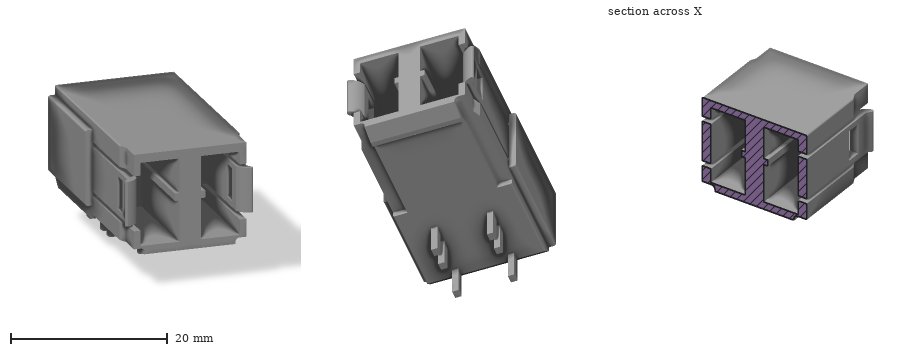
import cadquery as cq


length = 29.25
housing_width = 16.18
housing_height = 13.57
edge_radius = 0.2
front_chamfer = 1.32
tail_width = 15.18
taper_start = 25.15
taper_end = 26.15

overall_width = 18.05
boss_length = 14.57
boss_bottom = 2.05
boss_height = 10.25
boss_radius = 0.3

step_start = 13.57
step_height = 0.82
step_radius = 0.53
keel_width = 12.28
latch_start = 26.27
latch_flat_end = 26.97
latch_depth = 0.7

wall = 1.37
cavity_width = housing_width - 2 * wall
cavity_floor = 1.17
cavity_height = housing_height - 2 * cavity_floor
divider_width = 2.92
divider_rib_bottom = 6.73
divider_rib_height = 1.0
divider_rib_width = 4.1

slot_bottom = 3.25
slot_height = 7.43
clip_gap = 0.7
clip_height = slot_height - 2 * clip_gap
clip_bottom = slot_bottom + clip_gap
flare_start = 27.75
flare_end = 28.45
flare_rise = 0.38
nose_start = 28.6
nose_rise = 0.5
nose_crest = 28.93
crest_rise = 0.53
nose_tip = 29.13
tip_rise = 0.25
inner_bend = 28.72
inner_bend_depth = 0.6
window_start = 24.2
window_length = 2.08
window_bottom = 4.75
window_height = 4.45

pin_spans = [(1.25, 2.4), (6.4, 7.45), (8.9, 10.03)]
pin_width = 0.85
pin_spacing = 7.6
pin_length = 4.15


def box(x_start, x_end, width, z_bottom, height, y_center=0.0):
    """Block spanning X start to end, centred in Y and standing on z_bottom."""
    return cq.Workplane("XY").box(
        x_end - x_start, width, height, centered=(False, True, False)
    ).translate((x_start, y_center, z_bottom))


def make_housing():
    housing = box(0, length, housing_width, 0, housing_height)
    housing = housing.edges("|X").fillet(edge_radius)
    return housing.cut(make_tail_cut(1)).cut(make_tail_cut(-1))


def make_tail_cut(side):
    """Wedge and strip that narrow one side of the housing towards the rear."""
    outer = side * housing_width / 2
    inner = side * tail_width / 2
    return (
        cq.Workplane("XY")
        .polyline([(taper_start, outer), (taper_end, inner), (length, inner), (length, outer)])
        .close()
        .extrude(housing_height)
    )


def make_boss():
    boss = box(0, boss_length, overall_width, boss_bottom, boss_height)
    return boss.edges("|X").fillet(boss_radius)


def make_step_cut(side):
    """Removes one bottom edge of the rear half, leaving a concave fillet at the keel."""
    outer = side * housing_width / 2
    keel = side * keel_width / 2
    arc_end = keel + side * step_radius
    return (
        cq.Workplane("YZ", origin=(step_start, 0, 0))
        .moveTo(keel, 0)
        .lineTo(keel, step_height - step_radius)
        .radiusArc((arc_end, step_height), side * step_radius)
        .lineTo(outer, step_height)
        .lineTo(outer, 0)
        .close()
        .extrude(length - step_start)
    )


def make_latch():
    return (
        cq.Workplane("XZ", origin=(0, keel_width / 2, 0))
        .polyline([
            (latch_start, step_height),
            (latch_start, -latch_depth),
            (latch_flat_end, -latch_depth),
            (length, 0),
            (length, step_height),
        ])
        .close()
        .extrude(keel_width)
    )


def make_front_chamfer():
    return (
        cq.Workplane("XZ", origin=(0, housing_width / 2, 0))
        .polyline([(0, 0), (front_chamfer, 0), (0, front_chamfer)])
        .close()
        .extrude(housing_width)
    )


def make_divider():
    plate = box(boss_length, length, divider_width, cavity_floor, cavity_height)
    rib = box(boss_length, length, divider_rib_width, divider_rib_bottom, divider_rib_height)
    return plate.union(rib)


def make_clip():
    """Spring clip on the +Y side, flared outward to a rounded thumb tip."""
    outer = housing_width / 2
    inner = outer - wall
    clip = (
        cq.Workplane("XY", origin=(0, 0, clip_bottom))
        .moveTo(boss_length, inner)
        .lineTo(boss_length, outer)
        .lineTo(flare_start, outer)
        .tangentArcPoint((flare_end, outer + flare_rise), relative=False)
        .lineTo(nose_start, outer + nose_rise)
        .threePointArc((nose_crest, outer + crest_rise), (nose_tip, outer + tip_rise))
        .threePointArc((inner_bend, outer - inner_bend_depth), (flare_start, inner))
        .close()
        .extrude(clip_height)
    )
    window = box(
        window_start, window_start + window_length, 2 * wall, window_bottom, window_height, outer
    )
    return clip.cut(window)


def make_pin(x_start, x_end, y_center):
    return box(x_start, x_end, pin_width, -pin_length, pin_length + step_height, y_center)


result = make_housing().union(make_boss()).cut(make_front_chamfer())
for side in (1, -1):
    result = result.cut(make_step_cut(side))
result = result.union(make_latch())

result = result.cut(box(boss_length, length, cavity_width, cavity_floor, cavity_height))
result = result.cut(box(boss_length, length, housing_width, slot_bottom, slot_height))
result = result.union(make_divider())

clip = make_clip()
result = result.union(clip).union(clip.mirror("XZ"))

for x_start, x_end in pin_spans:
    for side in (1, -1):
        result = result.union(make_pin(x_start, x_end, side * pin_spacing / 2))